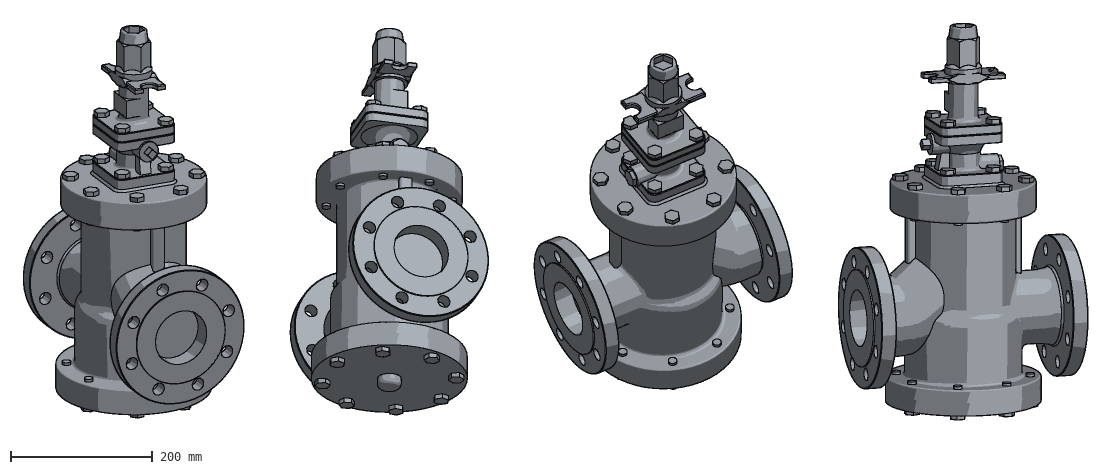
import cadquery as cq
import math

BOTTOM_COVER_Z = 15.0
BOTTOM_JOINT_Z = 33.0
BOTTOM_FLANGE_TOP_Z = 51.5
SHOULDER_LOW_Z = 136.5
SHOULDER_MID_Z = 149.5
SHOULDER_TOP_Z = 159.5
PIPE_Z = 143.0
TOP_FLANGE_Z = 290.5
TOP_JOINT_Z = 307.5
COVER_TOP_Z = 331.5
NECK_FLANGE_TOP_Z = 349.5
BELL_LOW_Z = 374.0
UPPER_FLANGE_Z = 392.0
UPPER_JOINT_Z = 405.5
UPPER_FLANGE_TOP_Z = 419.0
HUB_Z = 475.0
HUB_TOP_Z = 496.0
HEX_TOP_Z = 538.5
TOTAL_HEIGHT = 554.0

UPPER_BODY_R = 74.0
LOWER_BODY_R = 83.0
BODY_BLEND = 5.0
BOTTOM_FLANGE_R = 220.0 / 2
TOP_FLANGE_R = 206.0 / 2
FLANGE_EDGE = 2.0
TOP_BOLT_CIRCLE_R = 89.0
BOTTOM_BOLT_CIRCLE_R = 95.0
BOLT_COUNT = 8
BOLT_HEAD_D = 22.0
BOLT_HEAD_H = 6.5
STUD_END_D = 12.0
STUD_END_H = 4.0
PLUG_D = 34.0
PLUG_ROUND = 7.0
RIB_WIDTH = 18.0
RIB_REACH = 84.0
RIB_EDGE = 3.5

HALF_LENGTH = 155.0
RAISED_FACE_H = 2.0
RAISED_FACE_D = 138.0
PIPE_FLANGE_D = 200.0
PIPE_FLANGE_T = 22.0
PIPE_FLANGE_EDGE = 1.0
PIPE_BOLT_CIRCLE_R = 80.5
PIPE_HOLE_D = 18.0
PIPE_HOLE_START_ANGLE = 25.0
BORE_D = 80.0
BORE_DEPTH = 28.0
INLET_R = 52.0
INLET_FLARE_R = 55.5
INLET_FLARE_CURVE_R = 72.0
INLET_WELD_R = 57.5
INLET_FLARE_X = 106.0
INLET_BLEND = 8.5
OUTLET_R = 57.5
OUTLET_WELD_R = 55.5
OUTLET_BEND_X = 106.0
WELD_X = 127.5
OUTLET_BEND_ANGLE = 40.0
OUTLET_BEND_R = 58.0
OUTLET_REACH = 66.5

SQUARE = 92.0
SQUARE_CORNER = 11.5
SQUARE_EDGE = 1.0
GASKET_T = 1.5
GASKET_INSET = 1.0
SQUARE_BASE_FLARE = 3.5
BASE_CHAMFER_SHARE = 0.99
SQUARE_BOLT_OFFSET = 34.0
NECK_R = 24.5
NECK_BLEND = 5.0
BELL_R = 40.0
BELL_CURVE_R = 29.5
SIDE_BOSS_R = 15.0
LEFT_BOSS_Z = 352.0
LEFT_BOSS_REACH = 50.0
LEFT_PLUG_REACH = 56.0
LEFT_PLUG_D = 25.5
RIGHT_BOSS_Z = 386.5
RIGHT_BOSS_REACH = 50.0
RIGHT_PLUG_REACH = 61.5
RIGHT_PLUG_D = 15.5
HEX_SIDES = 6
SQUARE_SIDES = 4
BOSS_BLEND = 4.5
WEB_WIDTH = 16.5
WEB_TOP_X = 32.5
WEB_FOOT_X = 40.0

STEM_R = 21.0
STEM_BLEND = 6.0
FLATS_LOW_Z = 430.5
FLATS_TOP_Z = 457.0
HUB_R = 26.0
HUB_CONE_H = 5.5
HANDLE_Z = 479.0
HANDLE_T = 7.0
HANDLE_HALF_L = 55.0
HANDLE_HALF_W = 24.0
HANDLE_BEVEL = 1.5
CHEEK_HALF_L = 30.5
CHEEK_FLAT_HALF_L = 15.5
CHEEK_HALF_H = 6.5
CHEEK_HALF_W = 25.5
HOOK_TIP = 3.0
HOOK_INNER_Y = 11.0
NOTCH_X = 40.0
HEX_ACROSS_CORNERS = 49.0
HEX_CHAMFER = 3.5
CAP_LOW_R = 20.5
CAP_TOP_R = 18.5
CAP_EDGE = 2.0
SOCKET_D = 30.0
SOCKET_DEPTH = 11.0


def level(z):
    return cq.Workplane("XY").workplane(offset=z)


def cylinder(z_low, z_high, radius):
    return level(z_low).circle(radius).extrude(z_high - z_low)


def join(parts):
    """Fuse the parts, keeping the joint lines between stacked flanges."""
    solid = parts[0]
    for part in parts[1:]:
        solid = solid.union(part, clean=False)
    return solid


def bolt_ring(z_low, radius):
    """Bolt positions straddling the X and Y axes, each turned to face outward."""
    first_angle = 180 / BOLT_COUNT
    return level(z_low).polarArray(radius, first_angle, 360, BOLT_COUNT)


def ring_heads(z_low, radius):
    return bolt_ring(z_low, radius).polygon(HEX_SIDES, BOLT_HEAD_D).extrude(BOLT_HEAD_H)


def ring_studs(z_low, radius):
    return bolt_ring(z_low, radius).circle(STUD_END_D / 2).extrude(STUD_END_H)


def body_shell():
    """Stepped barrel with an S-shaped shoulder, and the inlet pipe blended into it."""
    span = (SHOULDER_MID_Z - SHOULDER_LOW_Z) / (SHOULDER_TOP_Z - SHOULDER_LOW_Z)
    shoulder_mid_r = LOWER_BODY_R - span * (LOWER_BODY_R - UPPER_BODY_R)
    barrel = (
        cq.Workplane("XZ")
        .moveTo(0, BOTTOM_JOINT_Z)
        .lineTo(LOWER_BODY_R + BODY_BLEND, BOTTOM_JOINT_Z)
        .lineTo(LOWER_BODY_R + BODY_BLEND, BOTTOM_FLANGE_TOP_Z)
        .radiusArc((LOWER_BODY_R, BOTTOM_FLANGE_TOP_Z + BODY_BLEND), BODY_BLEND)
        .lineTo(LOWER_BODY_R, SHOULDER_LOW_Z)
        .tangentArcPoint((shoulder_mid_r, SHOULDER_MID_Z), relative=False)
        .tangentArcPoint((UPPER_BODY_R, SHOULDER_TOP_Z), relative=False)
        .lineTo(UPPER_BODY_R, TOP_FLANGE_Z - BODY_BLEND)
        .radiusArc((UPPER_BODY_R + BODY_BLEND, TOP_FLANGE_Z), BODY_BLEND)
        .lineTo(UPPER_BODY_R + BODY_BLEND, TOP_JOINT_Z)
        .lineTo(0, TOP_JOINT_Z)
        .close()
        .revolve(360, (0, 0, 0), (0, 1, 0))
    )
    inlet = cq.Workplane("YZ").center(0, PIPE_Z).circle(INLET_R).extrude(-INLET_FLARE_X)
    shell = barrel.union(inlet)
    joint_edges = shell.edges("%BSPLINE").edges(
        cq.selectors.BoxSelector((-LOWER_BODY_R, -INLET_R, 0), (0, INLET_R, TOP_FLANGE_Z))
    )
    return joint_edges.fillet(INLET_BLEND)


def inlet_flare():
    back_x = HALF_LENGTH - RAISED_FACE_H - PIPE_FLANGE_T
    return (
        cq.Workplane("XZ", origin=(0, 0, PIPE_Z))
        .moveTo(-INLET_FLARE_X, 0)
        .lineTo(-INLET_FLARE_X, INLET_R)
        .radiusArc((-WELD_X, INLET_FLARE_R), INLET_FLARE_CURVE_R)
        .lineTo(-back_x, INLET_WELD_R)
        .lineTo(-back_x, 0)
        .close()
        .revolve(360, (0, 0, 0), (1, 0, 0))
    )


def outlet_pipe():
    """Short straight pipe, a bend tilting upward, then a straight run into the barrel."""
    angle = math.radians(OUTLET_BEND_ANGLE)
    back_x = HALF_LENGTH - RAISED_FACE_H - PIPE_FLANGE_T
    section = cq.Workplane("YZ", origin=(OUTLET_BEND_X, 0, PIPE_Z)).circle(OUTLET_R)
    straight = section.extrude(WELD_X - OUTLET_BEND_X)
    weld = (
        cq.Workplane("YZ", origin=(WELD_X, 0, PIPE_Z))
        .circle(OUTLET_WELD_R)
        .extrude(back_x - WELD_X)
    )
    bend = (
        cq.Workplane("YZ", origin=(OUTLET_BEND_X, 0, PIPE_Z))
        .circle(OUTLET_R)
        .revolve(OUTLET_BEND_ANGLE, (-5.5, OUTLET_BEND_R, 0), (5.5, OUTLET_BEND_R, 0))
    )
    bend_end = (
        OUTLET_BEND_X - OUTLET_BEND_R * math.sin(angle),
        0,
        PIPE_Z + OUTLET_BEND_R * (1 - math.cos(angle)),
    )
    inward = (-math.cos(angle), 0, math.sin(angle))
    rising = cq.Workplane(cq.Plane(bend_end, (0, 1, 0), inward)).circle(OUTLET_R).extrude(OUTLET_REACH)
    return straight.union(weld).union(bend).union(rising)


def pipe_flange(side):
    """Drilled pipe flange with a raised face; side is -1 for the inlet, +1 for the outlet."""
    face_x = side * (HALF_LENGTH - RAISED_FACE_H)
    plane = cq.Workplane("YZ", origin=(face_x, 0, PIPE_Z))
    disc = plane.circle(PIPE_FLANGE_D / 2).extrude(-side * PIPE_FLANGE_T)
    flange = disc.edges().chamfer(PIPE_FLANGE_EDGE)
    raised = plane.circle(RAISED_FACE_D / 2).extrude(side * RAISED_FACE_H)
    holes = (
        plane.polarArray(PIPE_BOLT_CIRCLE_R, 180 - PIPE_HOLE_START_ANGLE, 360, BOLT_COUNT)
        .circle(PIPE_HOLE_D / 2)
        .extrude(-side * PIPE_FLANGE_T)
    )
    return flange.union(raised).cut(holes)


def pipe_bore(side):
    mouth = cq.Workplane("YZ", origin=(side * HALF_LENGTH, 0, PIPE_Z))
    return mouth.circle(BORE_D / 2).extrude(-side * BORE_DEPTH)


def side_ribs():
    """Upright ribs on the inlet and outlet sides of the upper barrel."""
    return (
        level(PIPE_Z)
        .rect(2 * RIB_REACH, RIB_WIDTH)
        .extrude(TOP_FLANGE_Z - PIPE_Z)
        .edges("|Z")
        .fillet(RIB_EDGE)
    )


def bottom_cover():
    cover = cylinder(BOTTOM_COVER_Z, BOTTOM_JOINT_Z, BOTTOM_FLANGE_R)
    flange = cylinder(BOTTOM_JOINT_Z, BOTTOM_FLANGE_TOP_Z, BOTTOM_FLANGE_R)
    flange = flange.faces(">Z").edges().fillet(FLANGE_EDGE)
    heads = ring_heads(BOTTOM_COVER_Z - BOLT_HEAD_H, BOTTOM_BOLT_CIRCLE_R)
    studs = ring_studs(BOTTOM_FLANGE_TOP_Z, BOTTOM_BOLT_CIRCLE_R)
    plug = cylinder(0, BOTTOM_COVER_Z, PLUG_D / 2).faces("<Z").edges().fillet(PLUG_ROUND)
    return join([cover, flange, heads, studs, plug])


def top_cover():
    flange = cylinder(TOP_FLANGE_Z, TOP_JOINT_Z, TOP_FLANGE_R).faces("<Z").edges().fillet(FLANGE_EDGE)
    cover = cylinder(TOP_JOINT_Z, COVER_TOP_Z, TOP_FLANGE_R).faces(">Z").edges().fillet(FLANGE_EDGE)
    heads = ring_heads(COVER_TOP_Z, TOP_BOLT_CIRCLE_R)
    studs = ring_studs(TOP_FLANGE_Z - STUD_END_H, TOP_BOLT_CIRCLE_R)
    return join([flange, cover, heads, studs])


def square_plate(z_low, z_high):
    plate = level(z_low).rect(SQUARE, SQUARE).extrude(z_high - z_low)
    return plate.edges("|Z").fillet(SQUARE_CORNER)


def gasket():
    """Thin square layer, set back from the edges of the upper flange pair."""
    side = SQUARE - 2 * GASKET_INSET
    layer = level(UPPER_JOINT_Z - GASKET_T / 2).rect(side, side).extrude(GASKET_T)
    return layer.edges("|Z").fillet(SQUARE_CORNER - GASKET_INSET)


def square_bolts(z_low):
    offset = SQUARE_BOLT_OFFSET
    points = [(x, y) for x in (-offset, offset) for y in (-offset, offset)]
    return level(z_low).pushPoints(points).polygon(HEX_SIDES, BOLT_HEAD_D).extrude(BOLT_HEAD_H)


def side_boss(side, height, reach):
    """Round boss reaching sideways out of the neck; side is -1 or +1 along X."""
    return cq.Workplane("YZ", origin=(0, 0, height)).circle(SIDE_BOSS_R).extrude(side * reach)


def side_plug(side, height, reach, head_sides, head_d):
    """Plug in a side boss, its head turned so that one corner points up."""
    plane = cq.Workplane("YZ", origin=(0, 0, height)).transformed(rotate=(0, 0, 90))
    return plane.polygon(head_sides, head_d).extrude(side * reach)


def pilot_neck():
    """Square foot, round neck, flared bell and the pair of upper square flanges."""
    foot = square_plate(COVER_TOP_Z, NECK_FLANGE_TOP_Z).faces(">Z").chamfer(SQUARE_EDGE)
    base_side = SQUARE + 2 * SQUARE_BASE_FLARE
    base = (
        level(COVER_TOP_Z)
        .rect(base_side, base_side)
        .extrude(SQUARE_BASE_FLARE)
        .edges("|Z")
        .fillet(SQUARE_CORNER + SQUARE_BASE_FLARE)
        .faces(">Z")
        .chamfer(SQUARE_BASE_FLARE * BASE_CHAMFER_SHARE)
    )
    neck = (
        cq.Workplane("XZ")
        .moveTo(0, NECK_FLANGE_TOP_Z)
        .lineTo(NECK_R + NECK_BLEND, NECK_FLANGE_TOP_Z)
        .radiusArc((NECK_R, NECK_FLANGE_TOP_Z + NECK_BLEND), NECK_BLEND)
        .lineTo(NECK_R, BELL_LOW_Z)
        .radiusArc((BELL_R, UPPER_FLANGE_Z), BELL_CURVE_R)
        .lineTo(0, UPPER_FLANGE_Z)
        .close()
        .revolve(360, (0, 0, 0), (0, 1, 0))
    )
    core = cylinder(COVER_TOP_Z, UPPER_FLANGE_Z, NECK_R)
    left_boss = side_boss(-1, LEFT_BOSS_Z, LEFT_BOSS_REACH)
    blended_boss = core.union(left_boss).edges("%BSPLINE").fillet(BOSS_BLEND)
    right_boss = side_boss(1, RIGHT_BOSS_Z, RIGHT_BOSS_REACH)
    left_plug = side_plug(-1, LEFT_BOSS_Z, LEFT_PLUG_REACH, HEX_SIDES, LEFT_PLUG_D)
    right_plug = side_plug(1, RIGHT_BOSS_Z, RIGHT_PLUG_REACH, SQUARE_SIDES, RIGHT_PLUG_D)
    web = (
        cq.Workplane("XZ")
        .moveTo(0, NECK_FLANGE_TOP_Z)
        .lineTo(WEB_FOOT_X, NECK_FLANGE_TOP_Z)
        .lineTo(WEB_TOP_X, RIGHT_BOSS_Z)
        .lineTo(0, RIGHT_BOSS_Z)
        .close()
        .extrude(WEB_WIDTH / 2, both=True)
    )
    lower_plate = square_plate(UPPER_FLANGE_Z, UPPER_JOINT_Z - GASKET_T / 2)
    upper_plate = (
        square_plate(UPPER_JOINT_Z + GASKET_T / 2, UPPER_FLANGE_TOP_Z).faces(">Z").chamfer(SQUARE_EDGE)
    )
    return join([
        foot,
        base,
        square_bolts(NECK_FLANGE_TOP_Z),
        neck,
        web,
        blended_boss,
        right_boss,
        left_plug,
        right_plug,
        lower_plate,
        gasket(),
        upper_plate,
        square_bolts(UPPER_FLANGE_TOP_Z),
    ])


def stem():
    """Round stem blended into the flange, with a square-cornered wrench block on its -Y half."""
    shaft = (
        cq.Workplane("XZ")
        .moveTo(0, UPPER_FLANGE_TOP_Z)
        .lineTo(STEM_R + STEM_BLEND, UPPER_FLANGE_TOP_Z)
        .radiusArc((STEM_R, UPPER_FLANGE_TOP_Z + STEM_BLEND), STEM_BLEND)
        .lineTo(STEM_R, HUB_Z)
        .lineTo(0, HUB_Z)
        .close()
        .revolve(360, (0, 0, 0), (0, 1, 0))
    )
    block = (
        level(FLATS_LOW_Z)
        .center(0, -STEM_R / 2)
        .rect(2 * STEM_R, STEM_R)
        .extrude(FLATS_TOP_Z - FLATS_LOW_Z)
    )
    return shaft.union(block)


def handle():
    """Bevelled plate with a hooked notch at each end, thickened along both sides of a round hub."""
    notch_corner_x = HANDLE_HALF_L - HOOK_TIP
    outline = (
        level(HANDLE_Z)
        .moveTo(-HANDLE_HALF_L, -HANDLE_HALF_W)
        .lineTo(HANDLE_HALF_L, -HANDLE_HALF_W)
        .lineTo(HANDLE_HALF_L, -HOOK_INNER_Y)
        .lineTo(notch_corner_x, -HOOK_INNER_Y)
        .threePointArc((NOTCH_X, 0), (notch_corner_x, HOOK_INNER_Y))
        .lineTo(HANDLE_HALF_L, HOOK_INNER_Y)
        .lineTo(HANDLE_HALF_L, HANDLE_HALF_W)
        .lineTo(-HANDLE_HALF_L, HANDLE_HALF_W)
        .lineTo(-HANDLE_HALF_L, HOOK_INNER_Y)
        .lineTo(-notch_corner_x, HOOK_INNER_Y)
        .threePointArc((-NOTCH_X, 0), (-notch_corner_x, -HOOK_INNER_Y))
        .lineTo(-HANDLE_HALF_L, -HOOK_INNER_Y)
        .close()
        .extrude(HANDLE_T)
        .faces(">Z")
        .chamfer(HANDLE_BEVEL)
    )
    mid_z = HANDLE_Z + HANDLE_T / 2
    cheeks = (
        cq.Workplane("XZ", origin=(0, 0, mid_z))
        .moveTo(-CHEEK_HALF_L, 0)
        .lineTo(-CHEEK_FLAT_HALF_L, CHEEK_HALF_H)
        .lineTo(CHEEK_FLAT_HALF_L, CHEEK_HALF_H)
        .lineTo(CHEEK_HALF_L, 0)
        .lineTo(CHEEK_FLAT_HALF_L, -CHEEK_HALF_H)
        .lineTo(-CHEEK_FLAT_HALF_L, -CHEEK_HALF_H)
        .close()
        .extrude(CHEEK_HALF_W, both=True)
    )
    return outline.union(cheeks).union(cylinder(HUB_Z, HUB_TOP_Z, HUB_R))


def cap():
    """Hexagonal cap rising from a conical collar to a tapered tip with a hex socket."""
    collar = level(HUB_TOP_Z).circle(HUB_R).workplane(offset=HUB_CONE_H).circle(STEM_R).loft()
    hexagon = level(HUB_TOP_Z).polygon(HEX_SIDES, HEX_ACROSS_CORNERS).extrude(HEX_TOP_Z - HUB_TOP_Z)
    envelope = (
        cylinder(HUB_TOP_Z, HEX_TOP_Z, HEX_ACROSS_CORNERS / 2).faces(">Z").chamfer(HEX_CHAMFER)
    )
    tip = (
        level(HEX_TOP_Z)
        .circle(CAP_LOW_R)
        .workplane(offset=TOTAL_HEIGHT - HEX_TOP_Z)
        .circle(CAP_TOP_R)
        .loft()
        .faces(">Z")
        .edges()
        .fillet(CAP_EDGE)
    )
    socket = level(TOTAL_HEIGHT).polygon(HEX_SIDES, SOCKET_D).extrude(-SOCKET_DEPTH)
    return hexagon.intersect(envelope).union(collar).union(tip).cut(socket)


result = join([
    body_shell(),
    side_ribs(),
    inlet_flare(),
    outlet_pipe(),
    pipe_flange(-1),
    pipe_flange(1),
    bottom_cover(),
    top_cover(),
    pilot_neck(),
    stem(),
    handle(),
    cap(),
])
for side in (-1, 1):
    result = result.cut(pipe_bore(side), clean=False)